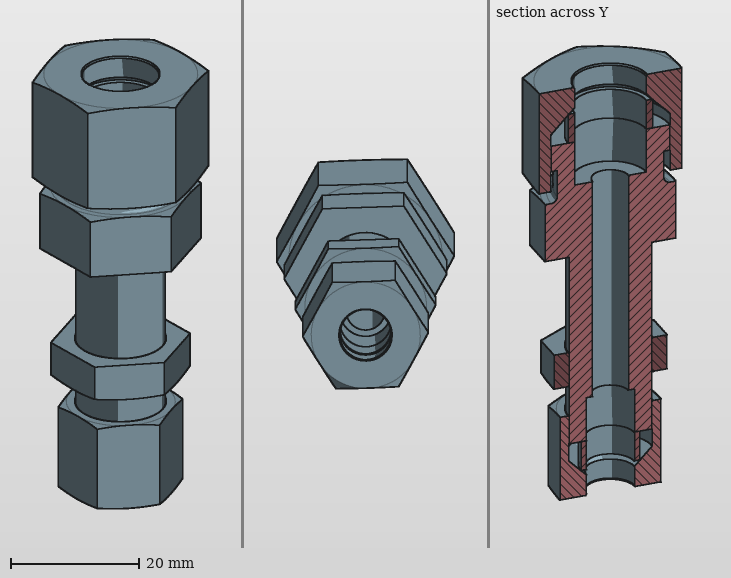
import cadquery as cq
import math


total_height = 71.5
upper_nut_length = 17.5
lower_nut_length = 14.5
body_hex_top = 52.0
body_hex_thickness = 10.0
lock_nut_bottom = 19.5
lock_nut_thickness = 6.0

upper_nut_width = 24.0
body_hex_width = 22.0
lock_nut_width = 19.0
lower_nut_width = 17.0

upper_tube_diameter = 12.0
lower_tube_diameter = 8.0
upper_thread_diameter = 20.0
lower_thread_diameter = 14.0
neck_diameter = 18.0
neck_fillet = 1.0
neck_length_in_nut = 3.5
flow_diameter = 6.0
upper_ring_diameter = 14.3
lower_ring_diameter = 10.0

nut_lip_length = 3.6
ring_gap = 0.9
ring_length = 5.0
tube_insertion = 7.5

hex_chamfer_angle = 15.0
bore_chamfer = 0.15
tube_mouth_chamfer_depth = 0.3

ring_depth = nut_lip_length + ring_gap
ring_seat_depth = ring_depth + ring_length
upper_stop_depth = ring_seat_depth + tube_insertion
upper_nut_bottom = total_height - upper_nut_length


def cylinder(diameter, bottom, top):
    return cq.Workplane("XY").workplane(offset=bottom).circle(diameter / 2).extrude(top - bottom)


def revolve_profile(points):
    """Solid of revolution about Z from (radius, height) points."""
    return cq.Workplane("XZ").polyline(points).close().revolve(360, (0, 0, 0), (0, 1, 0))


def hex_prism(width, bottom, top, chamfer_bottom, chamfer_top):
    """Hexagon with corners on the Y axis, its corners turned off conically at the chosen ends."""
    corner_radius = width / math.sqrt(3)
    flat_radius = width / 2
    drop = (corner_radius - flat_radius) * math.tan(math.radians(hex_chamfer_angle))
    prism = (
        cq.Workplane("XY")
        .workplane(offset=bottom)
        .transformed(rotate=(0, 0, 90))
        .polygon(6, 2 * corner_radius)
        .extrude(top - bottom)
    )
    envelope = [(0, bottom)]
    if chamfer_bottom:
        envelope += [(flat_radius, bottom), (corner_radius, bottom + drop)]
    else:
        envelope.append((corner_radius, bottom))
    if chamfer_top:
        envelope += [(corner_radius, top - drop), (flat_radius, top)]
    else:
        envelope.append((corner_radius, top))
    envelope.append((0, top))
    return prism.intersect(revolve_profile(envelope))


def union_nut(width, length, tube_diameter, thread_diameter):
    """Nut with its outer end face at Z = 0 and its threaded end up."""
    tube_radius = tube_diameter / 2
    thread_radius = thread_diameter / 2
    cone_end = nut_lip_length + thread_radius - tube_radius
    bore = revolve_profile([
        (0, 0),
        (tube_radius + bore_chamfer, 0),
        (tube_radius, tube_mouth_chamfer_depth),
        (tube_radius, nut_lip_length),
        (thread_radius, cone_end),
        (thread_radius, length - bore_chamfer),
        (thread_radius + bore_chamfer, length),
        (0, length),
    ])
    return hex_prism(width, 0, length, True, True).cut(bore)


def cutting_ring(tube_diameter, outer_diameter):
    """Ring with a 45 degree shoulder that bears on the cone in the nut; nut end face at Z = 0."""
    tube_radius = tube_diameter / 2
    outer_radius = outer_diameter / 2
    shoulder_radius = tube_radius + ring_gap
    shoulder_end = ring_depth + outer_radius - shoulder_radius
    return revolve_profile([
        (tube_radius, ring_depth),
        (shoulder_radius, ring_depth),
        (outer_radius, shoulder_end),
        (outer_radius, ring_seat_depth),
        (tube_radius, ring_seat_depth),
    ])


def to_upper_end(part):
    return part.rotate((0, 0, 0), (1, 0, 0), 180).translate((0, 0, total_height))


def make_body():
    hex_bottom = body_hex_top - body_hex_thickness
    neck_top = upper_nut_bottom + neck_length_in_nut
    upper_end = total_height - ring_seat_depth
    body = hex_prism(body_hex_width, hex_bottom, body_hex_top, False, True)
    neck_radius = neck_diameter / 2
    fillet_top = body_hex_top + neck_fillet
    neck = (
        cq.Workplane("XZ")
        .moveTo(0, body_hex_top)
        .lineTo(neck_radius + neck_fillet, body_hex_top)
        .radiusArc((neck_radius, fillet_top), neck_fillet)
        .lineTo(neck_radius, neck_top)
        .lineTo(0, neck_top)
        .close()
        .revolve(360, (0, 0, 0), (0, 1, 0))
    )
    body = body.union(neck)
    body = body.union(cylinder(upper_thread_diameter, neck_top, upper_end))
    body = body.union(cylinder(lower_thread_diameter, ring_seat_depth, hex_bottom))
    body = body.cut(cylinder(flow_diameter, 0, total_height))
    body = body.cut(cylinder(upper_tube_diameter, total_height - upper_stop_depth, total_height))
    return body.cut(cylinder(lower_tube_diameter, 0, ring_seat_depth + tube_insertion))


def make_lock_nut():
    top = lock_nut_bottom + lock_nut_thickness
    nut = hex_prism(lock_nut_width, lock_nut_bottom, top, True, False)
    nut = nut.cut(cylinder(lower_thread_diameter, lock_nut_bottom, top))
    return nut.edges("%CIRCLE").edges(cq.selectors.RadiusNthSelector(0)).chamfer(bore_chamfer)


body = make_body()
lock_nut = make_lock_nut()
upper_nut = to_upper_end(
    union_nut(upper_nut_width, upper_nut_length, upper_tube_diameter, upper_thread_diameter)
)
lower_nut = union_nut(lower_nut_width, lower_nut_length, lower_tube_diameter, lower_thread_diameter)
upper_ring = to_upper_end(cutting_ring(upper_tube_diameter, upper_ring_diameter))
lower_ring = cutting_ring(lower_tube_diameter, lower_ring_diameter)

result = cq.Compound.makeCompound([
    body.val(),
    upper_nut.val(),
    upper_ring.val(),
    lower_nut.val(),
    lower_ring.val(),
    lock_nut.val(),
])